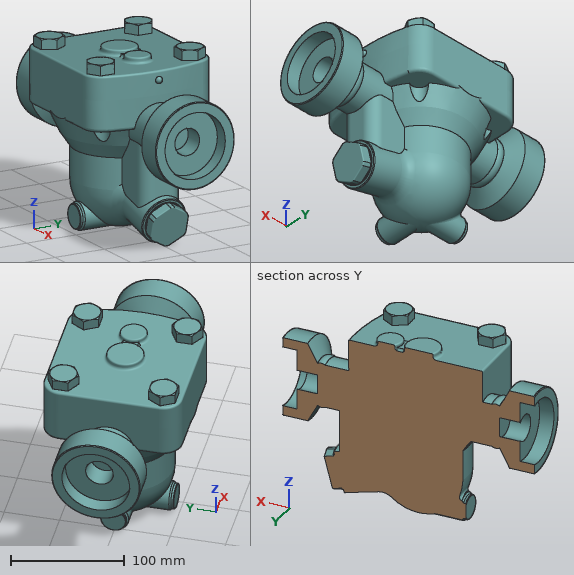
import cadquery as cq
import math


pipe_d = 46.0
ring_d = 48.0
ring_length = 7.5
weld_end_d = 80.0
weld_end_length = 24.7
weld_cone_length = 9.5
inlet_x = -113.0
outlet_x = 133.0
rim_chamfer = 0.8
socket_d = 61.1
socket_depth = 14.0
bore_d = 25.0
bore_depth = 20.0

flange_half = 62.5
bolt_offset = 45.25
inlet_corner_r = flange_half - bolt_offset
outlet_corner_r = 18.75
bulge_x = 69.2
bulge_draft = 1.3
flange_bottom = 0.8
seam_z = 30.0
cover_top = 52.3
flange_edge_r = 3.0
cover_edge_r = 2.0

bolt_flats = 24.0
bolt_height = 9.7
bolt_chamfer = 1.0
bolt_angles = {(-1, -1): 0, (1, -1): 30, (-1, 1): 30, (1, 1): 0}
spot_face_d = 17.5
spot_face_depth = 20.0

bowl_r = 44.0
dome_z = -62.2
lower_cone_z = -32.3
middle_cone_z = -18.8
middle_cone_r = 53.2
upper_cone_z = 0.9

cover_bosses = [(0.0, 33.0), (31.8, 24.0)]
cover_boss_top = 58.0
neck_height = 2.8
neck_fillet = 2.6
neck_zone = 25.0
boss_edge_r = 1.5
web_width = 14.0
identity_pin_r = 3.3
identity_pin_z = 44.0

rib_x = 77.5
rib_bottom = -80.0
rib_width = 40.0
rib_corner_r = 12.0

port_tilt = 15.0
port_r = 22.0
port_fillet = 15.0
port_length = 81.0
port_chamfer = 0.8
gasket_d = 38.0
gasket_thickness = 1.2
plug_flats = 36.0
plug_turned_d = 39.5
plug_height = 9.5
plug_edge_r = 1.0

drain_d = 26.0
drain_z = -92.5
drain_length = 44.0
drain_chamfer = 1.8
drain_cap_d = 23.0
drain_cap_length = 46.3
drain_cap_chamfer = 0.6
drain_fillet = 3.0
drain_trim = 10.0


def weld_end(end_x, direction):
    """Welding end, cone, bulged ring and pipe, from its outer face back to the bowl axis."""
    def at(distance):
        return end_x - direction * distance

    cone_start = weld_end_length
    cone_end = cone_start + weld_cone_length
    ring_end = cone_end + ring_length
    outer_r = weld_end_d / 2
    pipe_r = pipe_d / 2
    return (
        cq.Workplane("XY")
        .moveTo(at(0), 0)
        .lineTo(at(0), outer_r - rim_chamfer)
        .lineTo(at(rim_chamfer), outer_r)
        .lineTo(at(cone_start), outer_r)
        .lineTo(at(cone_end), pipe_r)
        .threePointArc((at(cone_end + ring_length / 2), ring_d / 2), (at(ring_end), pipe_r))
        .lineTo(0, pipe_r)
        .lineTo(0, 0)
        .close()
        .revolve(360, (0, 0, 0), (1, 0, 0))
    )


def weld_end_bores(end_x, direction):
    """Socket and pipe bore entering one welding end."""
    face = cq.Plane(origin=(end_x, 0, 0), xDir=(0, 1, 0), normal=(-direction, 0, 0))
    socket = cq.Workplane(face).circle(socket_d / 2).extrude(socket_depth)
    bore = cq.Workplane(face).circle(bore_d / 2).extrude(socket_depth + bore_depth)
    return socket.union(bore)


def flange_outline(z, bulge):
    """Flange outline: three straight sides and a bowed outlet side tangent to its corners."""
    inlet_centre = flange_half - inlet_corner_r
    inlet_diagonal = inlet_centre + inlet_corner_r / math.sqrt(2)
    outlet_centre = flange_half - outlet_corner_r
    rise = bulge - outlet_centre
    bulge_r = (rise**2 + outlet_centre**2 - outlet_corner_r**2) / (2 * (rise - outlet_corner_r))
    tangent_angle = math.asin(outlet_centre / (bulge_r - outlet_corner_r))
    middle_angle = (tangent_angle + math.pi / 2) / 2

    def outlet_corner_point(angle):
        return (
            outlet_centre + outlet_corner_r * math.cos(angle),
            outlet_centre + outlet_corner_r * math.sin(angle),
        )

    tangent_x, tangent_y = outlet_corner_point(tangent_angle)
    middle_x, middle_y = outlet_corner_point(middle_angle)
    return (
        cq.Workplane("XY", origin=(0, 0, z))
        .moveTo(-inlet_centre, -flange_half)
        .lineTo(outlet_centre, -flange_half)
        .threePointArc((middle_x, -middle_y), (tangent_x, -tangent_y))
        .threePointArc((bulge, 0), (tangent_x, tangent_y))
        .threePointArc((middle_x, middle_y), (outlet_centre, flange_half))
        .lineTo(-inlet_centre, flange_half)
        .threePointArc((-inlet_diagonal, inlet_diagonal), (-flange_half, inlet_centre))
        .lineTo(-flange_half, -inlet_centre)
        .threePointArc((-inlet_diagonal, -inlet_diagonal), (-inlet_centre, -flange_half))
        .close()
    )


def body_flange():
    """Flange of the body, drafted inwards on its bowed side."""
    bottom = flange_outline(flange_bottom, bulge_x - bulge_draft).val()
    top = flange_outline(seam_z, bulge_x).val()
    flange = cq.Workplane(cq.Solid.makeLoft([bottom, top], True))
    return flange.faces("<Z").edges().fillet(flange_edge_r)


def cover():
    """Cover plate with its joined bosses and the pin on the bowed side."""
    plate = flange_outline(seam_z, bulge_x).extrude(cover_top - seam_z)
    plate = plate.faces(">Z").edges().fillet(cover_edge_r)

    web_length = cover_bosses[1][0] - cover_bosses[0][0]
    neck = (
        cq.Workplane("XY", origin=(cover_bosses[0][0], 0, cover_top))
        .center(web_length / 2, 0)
        .rect(web_length, web_width)
        .extrude(neck_height)
    )
    for x, diameter in cover_bosses:
        shank = cq.Workplane("XY", origin=(x, 0, cover_top)).circle(diameter / 2)
        shank = shank.extrude(neck_height)
        neck = neck.union(shank)
    plate = plate.union(neck)
    root = cq.selectors.BoxSelector(
        (-neck_zone, -neck_zone, cover_top - neck_height / 2),
        (2 * neck_zone, neck_zone, cover_top + neck_height / 2),
        boundingbox=True,
    )
    plate = plate.edges(root).fillet(neck_fillet)

    disc_bottom = cover_top + neck_height
    for x, diameter in cover_bosses:
        disc = (
            cq.Workplane("XY", origin=(x, 0, disc_bottom))
            .circle(diameter / 2)
            .extrude(cover_boss_top - disc_bottom)
            .faces(">Z")
            .edges()
            .fillet(boss_edge_r)
        )
        plate = plate.union(disc)

    pin = cq.Workplane("XY", origin=(bulge_x, 0, identity_pin_z)).sphere(identity_pin_r)
    return plate.union(pin)


def bolt_head(side_x, side_y, angle):
    """Hexagonal bolt head with its top corners turned down."""
    centre = (side_x * bolt_offset, side_y * bolt_offset, cover_top)
    corners_d = bolt_flats / math.cos(math.pi / 6)
    head = (
        cq.Workplane("XY", origin=centre)
        .transformed(rotate=(0, 0, angle))
        .polygon(6, corners_d)
        .extrude(bolt_height)
    )
    turned_r = bolt_flats / 2 + 2 * bolt_chamfer
    turned = (
        cq.Workplane("XY", origin=centre)
        .circle(turned_r)
        .extrude(bolt_height)
        .faces(">Z")
        .chamfer(bolt_chamfer, 2 * bolt_chamfer)
    )
    return head.intersect(turned)


def spot_faces():
    """Cylindrical clearances cut into the bowl cone below each bolt."""
    return (
        cq.Workplane("XY", origin=(0, 0, flange_bottom - spot_face_depth))
        .rect(2 * bolt_offset, 2 * bolt_offset, forConstruction=True)
        .vertices()
        .circle(spot_face_d / 2)
        .extrude(spot_face_depth)
    )


def bowl():
    """Float bowl: double cone, cylinder and hemispherical bottom, kept within the flange outline."""
    dome_mid = bowl_r / math.sqrt(2)
    top_z = flange_bottom + flange_edge_r
    cone_slope = (flange_half - middle_cone_r) / (upper_cone_z - middle_cone_z)
    top_r = flange_half + cone_slope * (top_z - upper_cone_z)
    bowl_body = (
        cq.Workplane("XZ")
        .moveTo(0, seam_z)
        .lineTo(bowl_r, seam_z)
        .lineTo(top_r, top_z)
        .lineTo(middle_cone_r, middle_cone_z)
        .lineTo(bowl_r, lower_cone_z)
        .lineTo(bowl_r, dome_z)
        .threePointArc((dome_mid, dome_z - dome_mid), (0, dome_z - bowl_r))
        .close()
        .revolve(360, (0, 0, 0), (0, 1, 0))
    )
    column = flange_outline(dome_z - bowl_r, bulge_x).extrude(seam_z - dome_z + bowl_r)
    return bowl_body.intersect(column)


def drain_nose(axis):
    """Horizontal drain boss with a chamfered end, pointing along the given direction."""
    plane = cq.Plane(origin=(0, 0, drain_z), xDir=(0, 0, 1), normal=axis)
    boss = cq.Workplane(plane).circle(drain_d / 2).extrude(drain_length)
    tip = cq.selectors.DirectionMinMaxSelector(cq.Vector(axis))
    return boss.faces(tip).chamfer(drain_chamfer)


def drain_boss(axis):
    """Drain boss closed by a thin cap."""
    plane = cq.Plane(origin=(0, 0, drain_z), xDir=(0, 0, 1), normal=axis)
    cap = cq.Workplane(plane).circle(drain_cap_d / 2).extrude(drain_cap_length)
    tip = cq.selectors.DirectionMinMaxSelector(cq.Vector(axis))
    return drain_nose(axis).union(cap.faces(tip).chamfer(drain_cap_chamfer))


def add_flared_drain(bowl_body):
    """Add the -X drain boss, filleted into the dome.

    The fillet is wider than the boss is long at its top, so it is made on an
    overlong boss that is then trimmed back to the chamfered nose.
    """
    axis = (-1, 0, 0)
    plane = cq.Plane(origin=(0, 0, drain_z), xDir=(0, 0, 1), normal=axis)
    overlong = cq.Workplane(plane).circle(drain_d / 2).extrude(drain_length + drain_trim)
    flare_end = drain_length - drain_chamfer
    root = cq.selectors.BoxSelector(
        (-flare_end, -drain_d, dome_z - bowl_r),
        (0, drain_d, dome_z),
        boundingbox=True,
    )
    flared = bowl_body.union(overlong).edges(root).fillet(drain_fillet)
    trim_plane = cq.Plane(origin=(-flare_end, 0, drain_z), xDir=(0, 0, 1), normal=axis)
    beyond_flare = cq.Workplane(trim_plane).circle(drain_d / 2 + drain_fillet).extrude(2 * drain_trim)
    return flared.cut(beyond_flare.cut(drain_nose(axis))).union(drain_boss(axis))


def rib():
    """Upright rib carrying the passage from the strainer port up to the outlet pipe."""
    return (
        cq.Workplane("XY", origin=(rib_x / 2, 0, rib_bottom))
        .rect(rib_x, rib_width)
        .extrude(-rib_bottom)
        .edges("|Z and >X")
        .fillet(rib_corner_r)
    )


def strainer_port():
    """Inclined port flaring into the dome, with gasket and hexagonal plug."""
    tilt = math.radians(port_tilt)
    direction = cq.Vector(math.cos(tilt), 0, -math.sin(tilt))
    sideways = cq.Vector(math.sin(tilt), 0, math.cos(tilt))
    profile_plane = cq.Plane(origin=(0, 0, dome_z), xDir=direction, normal=(0, -1, 0))

    reach = bowl_r + port_fillet
    flare_r = port_r + port_fillet
    flare_along = math.sqrt(reach**2 - flare_r**2)
    contact_along = flare_along * bowl_r / reach
    contact_r = flare_r * bowl_r / reach
    middle_angle = (math.atan2(flare_r, flare_along) + math.pi / 2) / 2
    middle = (
        flare_along - port_fillet * math.cos(middle_angle),
        flare_r - port_fillet * math.sin(middle_angle),
    )
    boss = (
        cq.Workplane(profile_plane)
        .lineTo(contact_along, contact_r)
        .threePointArc(middle, (flare_along, port_r))
        .lineTo(port_length - port_chamfer, port_r)
        .lineTo(port_length, port_r - port_chamfer)
        .lineTo(port_length, 0)
        .close()
        .revolve(360, (0, 0, 0), (1, 0, 0))
    )

    seat = cq.Vector(0, 0, dome_z) + direction * port_length
    gasket_plane = cq.Plane(origin=seat, xDir=sideways, normal=direction)
    gasket = cq.Workplane(gasket_plane).circle(gasket_d / 2).extrude(gasket_thickness)

    plug_plane = cq.Plane(origin=seat + direction * gasket_thickness, xDir=sideways, normal=direction)
    plug_corners_d = plug_flats / math.cos(math.pi / 6)
    hexagon = cq.Workplane(plug_plane).polygon(6, plug_corners_d).extrude(plug_height)
    turned = cq.Workplane(plug_plane).circle(plug_turned_d / 2).extrude(plug_height)
    outer_face = cq.selectors.DirectionMinMaxSelector(direction)
    plug = hexagon.intersect(turned).faces(outer_face).edges().fillet(plug_edge_r)
    return boss.union(gasket).union(plug)


body = bowl().cut(spot_faces())
body = add_flared_drain(body)
body = body.union(drain_boss((0, -1, 0)))
body = body.union(strainer_port())
body = body.union(rib())
body = body.union(body_flange())
for pipe_end_x, pipe_direction in ((inlet_x, -1), (outlet_x, 1)):
    body = body.union(weld_end(pipe_end_x, pipe_direction))
    body = body.cut(weld_end_bores(pipe_end_x, pipe_direction))

result = body.union(cover(), clean=False)
for (bolt_side_x, bolt_side_y), bolt_angle in bolt_angles.items():
    result = result.union(bolt_head(bolt_side_x, bolt_side_y, bolt_angle), clean=False)